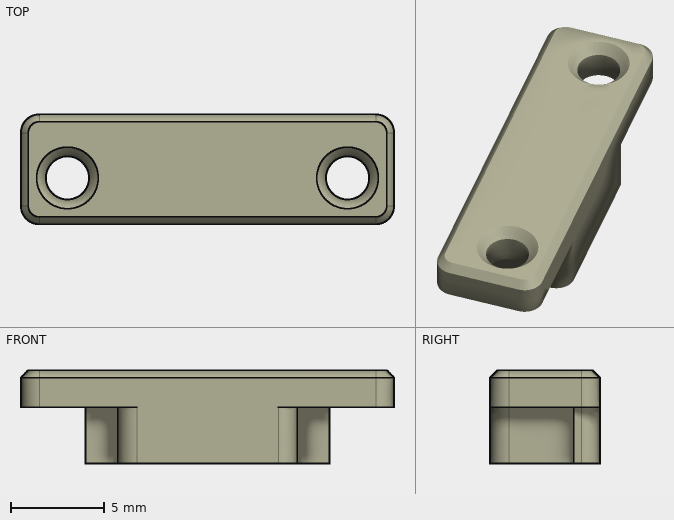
import cadquery as cq

plate_length = 20.0
plate_depth = 5.9
plate_thickness = 2.0
top_chamfer = 0.4
corner_radius = 1.0

boss_height = 3.0
body_width = 9.6
flange_width = 13.08
flange_depth = 1.4

hole_diameter = 2.3
countersink_diameter = 3.3
countersink_angle = 90.0
hole_spacing = 15.0
hole_y = -0.45

back_y = plate_depth / 2
front_y = -plate_depth / 2


def make_plate():
    plate = cq.Workplane("XY").box(
        plate_length, plate_depth, plate_thickness, centered=(True, True, False)
    )
    plate = plate.edges("|Z").fillet(corner_radius)
    plate = plate.faces(">Z").chamfer(top_chamfer)
    return (
        plate.faces(">Z")
        .workplane(origin=(0, hole_y, plate_thickness))
        .pushPoints([(-hole_spacing / 2, 0), (hole_spacing / 2, 0)])
        .cskHole(hole_diameter, countersink_diameter, countersink_angle)
    )


def make_boss_block(width, near_y, far_y):
    """Block hanging below the plate, centred on X, from near_y to far_y."""
    return (
        cq.Workplane("XY")
        .center(0, (near_y + far_y) / 2)
        .rect(width, far_y - near_y)
        .extrude(-boss_height)
    )


body = make_boss_block(body_width, front_y, back_y)
body = body.edges("|Z and <Y").fillet(corner_radius)
flange = make_boss_block(flange_width, back_y - flange_depth, back_y)
flange = flange.edges("|Z and >Y").fillet(corner_radius)

result = make_plate().union(body).union(flange)